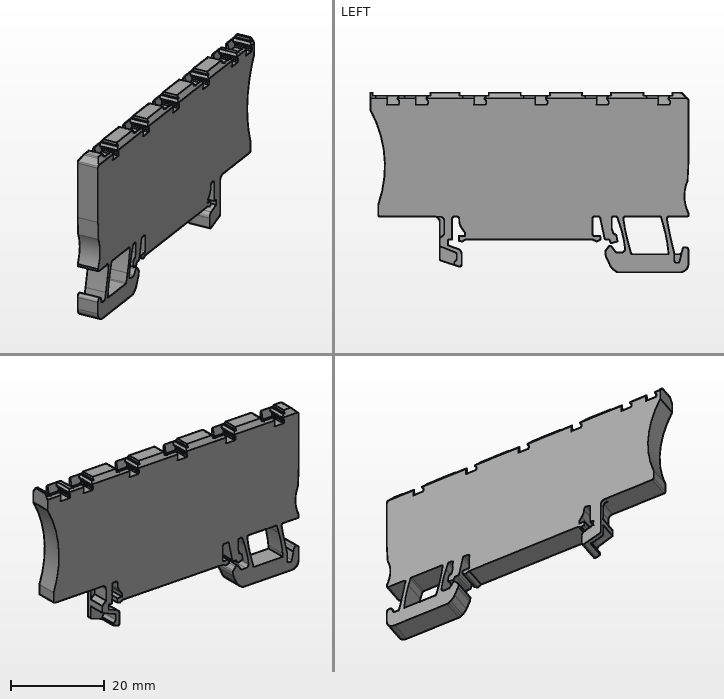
import cadquery as cq
import math


THICKNESS = 5.0
LENGTH = 67.9
HEIGHT = 38.35

PLATE_BOTTOM = 11.92
OVERLAP = 1.0
CORNER_RADIUS = 0.35
GRIP_TOP = 34.63
GRIP_DEEPEST = (64.82, 22.7)
GRIP_BOTTOM = (66.23, 14.5)
TAPER_TOP = 23.73
HOLLOW_TOP = (0.2, 19.6)
HOLLOW_DEEPEST = (0.87, 16.1)
HOLLOW_BOTTOM = 12.6

EDGE_BEVEL_WIDTH = 0.85
EDGE_BEVEL_HEIGHT = 1.2
END_BEVEL = 1.5
END_BEVEL_ROUNDING = 0.5

NOTCH_CENTRES = (64.3, 58.17, 45.75, 32.7, 19.65, 6.53)
NOTCH_FLOOR = HEIGHT - 2.62
SHOULDER_Z = HEIGHT - 0.62
SHOULDER_REACH = 3.08
NOTCH_WALL = 0.85
FLOOR_REACH = 2.35
LIP_REACH = 2.17
UNDERCUT_REACH = 2.6
UNDERCUT_BOTTOM = NOTCH_FLOOR + 0.32
UNDERCUT_TOP = UNDERCUT_BOTTOM + 0.45
LIP_Z = SHOULDER_Z - 0.63

RECESS_DEPTH = 4.0


def rounded_outline(corners):
    """Closed YZ outline through (y, z, radius) corners, each rounded by its radius."""
    path = []
    count = len(corners)
    for index, (y, z, radius) in enumerate(corners):
        corner = cq.Vector(y, z)
        if radius == 0:
            path.append((corner, None, corner))
            continue
        before = cq.Vector(*corners[index - 1][:2])
        after = cq.Vector(*corners[(index + 1) % count][:2])
        to_before = (before - corner).normalized()
        to_after = (after - corner).normalized()
        half_angle = to_before.getAngle(to_after) / 2
        setback = radius / math.tan(half_angle)
        bisector = (to_before + to_after).normalized()
        middle = corner + bisector * (radius / math.sin(half_angle) - radius)
        path.append((corner + to_before * setback, middle, corner + to_after * setback))

    outline = cq.Workplane("YZ").moveTo(*path[0][2].toTuple()[:2])
    for start, middle, end in path[1:] + path[:1]:
        outline = outline.lineTo(*start.toTuple()[:2])
        if middle is not None:
            outline = outline.threePointArc(middle.toTuple()[:2], end.toTuple()[:2])
    return outline.close()


def box(x_range, y_range, z_range):
    """Axis-aligned box between the given limits."""
    size = [high - low for low, high in (x_range, y_range, z_range)]
    origin = (x_range[0], y_range[0], z_range[0])
    return cq.Workplane(cq.Solid.makeBox(*size, cq.Vector(*origin)))


def main_plate():
    """Plate with hollowed ends and a bevel at the top of the -Y end."""
    plate = (
        cq.Workplane("YZ")
        .moveTo(END_BEVEL, HEIGHT)
        .lineTo(LENGTH, HEIGHT)
        .lineTo(LENGTH, GRIP_TOP)
        .threePointArc(GRIP_DEEPEST, GRIP_BOTTOM)
        .lineTo(GRIP_BOTTOM[0], PLATE_BOTTOM)
        .lineTo(0, PLATE_BOTTOM)
        .lineTo(0, HOLLOW_BOTTOM)
        .threePointArc(HOLLOW_DEEPEST, HOLLOW_TOP)
        .lineTo(0, TAPER_TOP)
        .lineTo(0, HEIGHT - END_BEVEL)
        .close()
        .extrude(THICKNESS)
    )
    plate = plate.edges("|X").edges("<Z").fillet(CORNER_RADIUS)
    bevel_edges = plate.edges(cq.selectors.BoxSelector(
        (0, -END_BEVEL / 2, HEIGHT - END_BEVEL * 1.5),
        (THICKNESS, END_BEVEL * 1.5, HEIGHT + END_BEVEL / 2),
    ))
    return bevel_edges.edges("|X").fillet(END_BEVEL_ROUNDING)


def edge_bevel():
    """Wedge removed along the upper edge of the X = 0 face."""
    bevel_start = HEIGHT - EDGE_BEVEL_HEIGHT
    return (
        cq.Workplane("XZ")
        .polyline([(0, bevel_start), (EDGE_BEVEL_WIDTH, HEIGHT), (0, HEIGHT)])
        .close()
        .extrude(-LENGTH)
    )


def notch_half():
    """+Y half of a notch about Y = 0: snap lip at its end, wall with a sloped inner side at X = 0."""
    profile = [
        (0, NOTCH_FLOOR),
        (FLOOR_REACH, NOTCH_FLOOR),
        (UNDERCUT_REACH, UNDERCUT_BOTTOM),
        (UNDERCUT_REACH, UNDERCUT_TOP),
        (LIP_REACH, LIP_Z),
        (UNDERCUT_REACH, SHOULDER_Z),
        (0, SHOULDER_Z),
    ]
    wall_tip = EDGE_BEVEL_WIDTH * (1 - (HEIGHT - SHOULDER_Z) / EDGE_BEVEL_HEIGHT)
    wall = (
        cq.Workplane("XZ")
        .polyline([
            (0, NOTCH_FLOOR),
            (NOTCH_WALL, NOTCH_FLOOR),
            (wall_tip, SHOULDER_Z),
            (0, SHOULDER_Z),
        ])
        .close()
        .extrude(-UNDERCUT_REACH)
    )
    return cq.Workplane("YZ").polyline(profile).close().extrude(THICKNESS).cut(wall)


def label_notch():
    """Notch about Y = 0: shoulder step across the whole edge, then two opposed halves."""
    shoulder = box((0, THICKNESS), (-SHOULDER_REACH, SHOULDER_REACH), (SHOULDER_Z, HEIGHT))
    half = notch_half()
    middle = THICKNESS / 2
    opposite_half = half.rotate((middle, 0, 0), (middle, 0, 1), 180)
    return shoulder.union(half).union(opposite_half)


def rail_foot():
    """Everything below the plate: latch leg, rail seat, spring finger and hooked foot."""
    latch_leg = [
        (56.0, PLATE_BOTTOM + OVERLAP, 0),
        (56.0, PLATE_BOTTOM, 0),
        (53.13, PLATE_BOTTOM, 1.1),
        (53.13, 2.6, 0.5),
        (48.4, 1.05, 0.5),
        (48.4, 4.75, 1.2),
        (51.3, 5.8, 0),
        (51.3, 7.0, 0.15),
        (50.46, 7.0, 0.15),
        (50.46, PLATE_BOTTOM, 0.5),
    ]
    rail_seat = [
        (48.97, PLATE_BOTTOM, 0.5),
        (48.97, 10.2, 3.0),
        (47.75, 8.5, 0.2),
        (47.75, 7.82, 0),
        (49.03, 7.82, 0),
        (49.03, 6.72, 0.1),
        (48.3, 6.58, 0),
        (47.6, 7.0, 0),
        (20.5, 7.0, 0),
        (19.6, 6.58, 0.2),
        (18.8, 7.0, 0.2),
        (18.8, 7.82, 0.3),
        (20.5, 7.82, 0.3),
        (20.5, PLATE_BOTTOM, 0.4),
    ]
    spring_finger = [
        (18.95, PLATE_BOTTOM, 0.4),
        (17.9, 7.0, 0.4),
        (16.95, 7.0, 0.1),
        (16.55, 6.2, 0.1),
        (15.15, 6.6, 0.15),
        (15.4, 8.0, 0.4),
        (16.05, 8.35, 0.3),
        (16.4, 9.5, 0.5),
        (16.4, PLATE_BOTTOM, 0.3),
    ]
    hooked_foot = [
        (15.3, PLATE_BOTTOM, 0.3),
        (13.87, 7.7, 24.0),
        (13.5, 4.3, 0.7),
        (15.5, 4.3, 0.3),
        (16.75, 5.95, 0.4),
        (17.85, 4.5, 0.6),
        (17.7, 3.5, 0.5),
        (16.5, 0.9, 3.0),
        (15.2, 0, 0.8),
        (0, 0, 1.95),
        (0, 5.4, 0.7),
        (1.15, 5.4, 0.35),
        (1.65, 3.92, 0.3),
        (3.0, 3.92, 0.2),
        (4.1, 8.4, 80.0),
        (4.7, PLATE_BOTTOM, 0.4),
        (2.0, PLATE_BOTTOM, 0),
        (2.0, PLATE_BOTTOM + OVERLAP, 0),
    ]
    outline = latch_leg + rail_seat + spring_finger + hooked_foot
    return rounded_outline(outline).extrude(THICKNESS)


def foot_window():
    """Opening between the two slanted ribs that carry the hooked foot."""
    window = [
        (5.95, PLATE_BOTTOM, 0.3),
        (4.65, 7.4, 30.0),
        (4.3, 3.92, 0),
        (12.22, 3.92, 0.2),
        (13.5, 8.6, 38.0),
        (13.95, PLATE_BOTTOM, 0.4),
    ]
    return rounded_outline(window).extrude(THICKNESS)


def latch_upper_recess():
    """Thins the outer edge of the latch leg, including the fillet under the plate."""
    recess = [
        (54.5, PLATE_BOTTOM, 0),
        (52.1, PLATE_BOTTOM, 1.0),
        (52.1, 8.2, 0),
        (53.13, 7.25, 0),
        (54.5, 7.25, 0),
    ]
    return rounded_outline(recess).extrude(RECESS_DEPTH)


def latch_lower_recess():
    """Hollows the release end of the latch."""
    recess = [
        (54.0, 5.9, 0),
        (53.1, 5.6, 0),
        (49.44, 4.15, 0.4),
        (49.44, 2.8, 0.2),
        (50.05, 2.1, 0),
        (50.05, 0.5, 0),
        (54.0, 0.5, 0),
    ]
    return rounded_outline(recess).extrude(RECESS_DEPTH)


def hook_groove():
    """Deepens the gap behind the end hook of the foot."""
    groove = [
        (3.08, 4.3, 0),
        (3.08, 2.03, 0.6),
        (2.0, 2.03, 0.5),
        (1.45, 4.3, 0),
    ]
    return rounded_outline(groove).extrude(RECESS_DEPTH)


near_bevel = edge_bevel()
far_bevel = near_bevel.mirror("YZ").translate((THICKNESS, 0, 0))

body = main_plate().cut(near_bevel).cut(far_bevel)
for centre in NOTCH_CENTRES:
    body = body.cut(label_notch().translate((0, centre, 0)))

body = body.union(rail_foot()).cut(foot_window())
body = body.cut(latch_upper_recess()).cut(latch_lower_recess()).cut(hook_groove())
result = body.clean()